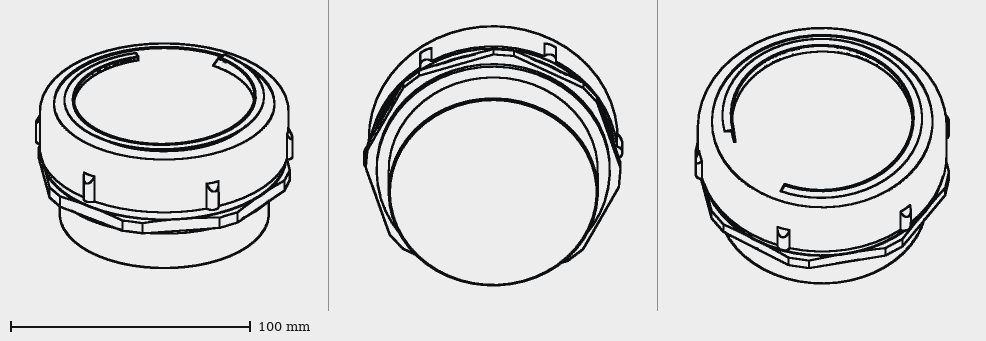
import cadquery as cq
import math

spigot_top = 20.0
flange_top = 22.4
nut_top = 28.1
cap_bottom = 32.3
cap_top = 54.4
total_height = 58.6

spigot_diameter = 87.2
flange_diameter = 97.2
collar_diameter = 101.8
cap_diameter = 103.8
recess_diameter = 92.0
spigot_chamfer = 0.5
cap_fillet = 4.2
recess_depth = 0.6
floor = cap_top - recess_depth

nut_sides = 8
nut_flats = 101.1
nut_corner_flats = 105.9
nut_edge_top = 27.4
short_side_angle = 10.0

rib_count = 6
rib_start_angle = 90.0
rib_radius = 2.8
rib_reach = 53.9
rib_top = 44.3
rib_slope_drop = 3.2

lip_pitch = 3.9
lip_start_angle = 90.0
lip_sweep = 306.5
lip_inner_radius = 37.6
lip_wall_thickness = 0.5
fin_outer_radius = 83.2 / 2
fin_top_drop = 0.2
fin_tip_thickness = 0.1
fin_root_thickness = 1.1
wall_foot_depth = 1.1
wall_taper_length = 2.9
wall_outer = lip_inner_radius + lip_wall_thickness


def cylinder(diameter, bottom, top):
    return cq.Workplane("XY").workplane(offset=bottom).circle(diameter / 2).extrude(top - bottom)


def octagon(flats, turn):
    """Octagonal prism of the nut, given by its distance across flats."""
    corner_diameter = flats / math.cos(math.pi / nut_sides)
    prism = cq.Workplane("XY").workplane(offset=flange_top)
    prism = prism.polygon(nut_sides, corner_diameter).extrude(nut_top - flange_top)
    return prism.rotate((0, 0, 0), (0, 0, 1), turn)


def make_body():
    body = cylinder(spigot_diameter, 0, spigot_top).faces("<Z").chamfer(spigot_chamfer)
    body = body.union(cylinder(flange_diameter, spigot_top, flange_top))
    body = body.union(cylinder(collar_diameter, nut_top, cap_bottom))
    cap = cylinder(cap_diameter, cap_bottom, cap_top).faces(">Z").edges().fillet(cap_fillet)
    cap = cap.cut(cylinder(recess_diameter, floor, cap_top))
    return body.union(cap)


def make_nut():
    """Nut with its upper corners turned down to a shallow cone."""
    corner_radius = nut_corner_flats / 2 / math.cos(math.radians(short_side_angle / 2))
    cone = (
        cq.Workplane("XZ")
        .moveTo(0, flange_top)
        .lineTo(corner_radius, flange_top)
        .lineTo(corner_radius, nut_edge_top)
        .lineTo(nut_flats / 2, nut_top)
        .lineTo(0, nut_top)
        .close()
        .revolve(360, (0, 0, 0), (0, 1, 0))
    )
    half_side_turn = 180 / nut_sides
    nut = octagon(nut_flats, half_side_turn).intersect(octagon(nut_corner_flats, 0))
    return nut.intersect(cone)


def make_rib():
    """Round rib on the +X side, with a top that slopes down away from the cap."""
    cap_radius = cap_diameter / 2
    centre = rib_reach - rib_radius
    slope = rib_slope_drop / (rib_reach - cap_radius)
    inner = centre - rib_radius
    profile = (
        cq.Workplane("XZ")
        .moveTo(inner, cap_bottom)
        .lineTo(rib_reach, cap_bottom)
        .lineTo(rib_reach, rib_top - rib_slope_drop)
        .lineTo(inner, rib_top + slope * (cap_radius - inner))
        .close()
        .extrude(rib_radius, both=True)
    )
    post = cylinder(2 * rib_radius, cap_bottom, cap_top).translate((centre, 0, 0))
    return post.intersect(profile)


def make_lip():
    """Wall and fin swept together, descending clockwise from the +Y side."""
    fin_top = total_height - fin_top_drop
    profile = (
        cq.Workplane("XZ")
        .moveTo(lip_inner_radius, floor - wall_foot_depth)
        .lineTo(lip_inner_radius, total_height)
        .lineTo(wall_outer, total_height)
        .lineTo(wall_outer, fin_top)
        .lineTo(fin_outer_radius, fin_top)
        .lineTo(fin_outer_radius, fin_top - fin_tip_thickness)
        .lineTo(wall_outer, total_height - fin_root_thickness)
        .lineTo(wall_outer, floor - wall_foot_depth)
        .close()
    )
    drop = lip_pitch * lip_sweep / 360
    helix = cq.Wire.makeHelix(lip_pitch, drop, lip_inner_radius, lefthand=True)
    helix = helix.mirror("XY")
    lip = profile.sweep(cq.Workplane(helix), isFrenet=True)
    return lip.rotate((0, 0, 0), (0, 0, 1), lip_start_angle)


def make_wall_taper():
    """Sloping end of the wall, running down to the recess floor beyond the high end of the fin."""
    foot = floor - wall_foot_depth
    profile = (
        cq.Workplane("XZ")
        .moveTo(0, foot)
        .lineTo(0, total_height)
        .lineTo(-wall_taper_length, floor)
        .lineTo(-wall_taper_length, foot)
        .close()
        .extrude(-wall_outer)
    )
    ring = cylinder(2 * wall_outer, foot, total_height)
    ring = ring.cut(cylinder(2 * lip_inner_radius, foot, total_height))
    return ring.intersect(profile)


result = make_body().union(make_nut())
rib = make_rib()
for index in range(rib_count):
    rib_angle = rib_start_angle + index * 360 / rib_count
    result = result.union(rib.rotate((0, 0, 0), (0, 0, 1), rib_angle))
result = result.union(make_lip()).union(make_wall_taper())